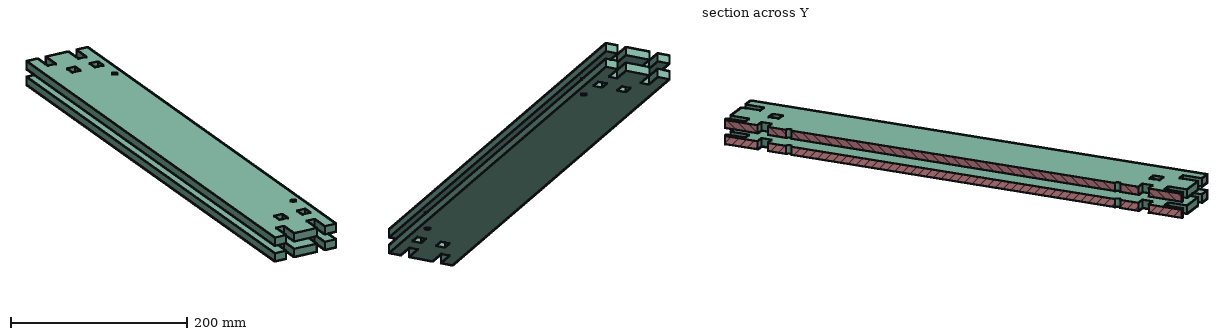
import cadquery as cq

LENGTH = 572.0
WIDTH = 80.0
THICKNESS = 10.5
OVERALL_HEIGHT = 30.0
PLATE_COUNT = 2
PLATE_PITCH = OVERALL_HEIGHT - THICKNESS

SLOT_DEPTH = 23.5
SLOT_WIDTH = 10.5
SLOT_OFFSET_Y = WIDTH / 4

WINDOW_LENGTH = 12.5
WINDOW_WIDTH = 11.0
WINDOW_END_DISTANCE = 47.5
WINDOW_PITCH = 30.0
UPPER_WINDOW_Y = 24.5
WINDOW_X = LENGTH / 2 - WINDOW_END_DISTANCE

HOLE_DIAMETER = 6.5
HOLE_END_DISTANCE = 80.0
HOLE_EDGE_DISTANCE = 10.5
HOLE_X = LENGTH / 2 - HOLE_END_DISTANCE
HOLE_Y = WIDTH / 2 - HOLE_EDGE_DISTANCE


def cut_end_slots(plate):
    centers = [(x, y) for x in (-LENGTH / 2, LENGTH / 2) for y in (-SLOT_OFFSET_Y, SLOT_OFFSET_Y)]
    return plate.pushPoints(centers).rect(2 * SLOT_DEPTH, SLOT_WIDTH).cutThruAll()


def cut_windows(plate):
    rows = (UPPER_WINDOW_Y, UPPER_WINDOW_Y - WINDOW_PITCH)
    centers = [(x, y) for x in (-WINDOW_X, WINDOW_X) for y in rows]
    return plate.pushPoints(centers).rect(WINDOW_LENGTH, WINDOW_WIDTH).cutThruAll()


def cut_holes(plate):
    return plate.pushPoints([(-HOLE_X, HOLE_Y), (HOLE_X, HOLE_Y)]).circle(HOLE_DIAMETER / 2).cutThruAll()


def make_plate(bottom_z):
    plate = cq.Workplane("XY").rect(LENGTH, WIDTH).extrude(THICKNESS)
    plate = cut_end_slots(plate)
    plate = cut_windows(plate)
    plate = cut_holes(plate)
    return plate.translate((0, 0, bottom_z))


plates = [make_plate(index * PLATE_PITCH) for index in range(PLATE_COUNT)]

result = cq.Compound.makeCompound([plate.val() for plate in plates])